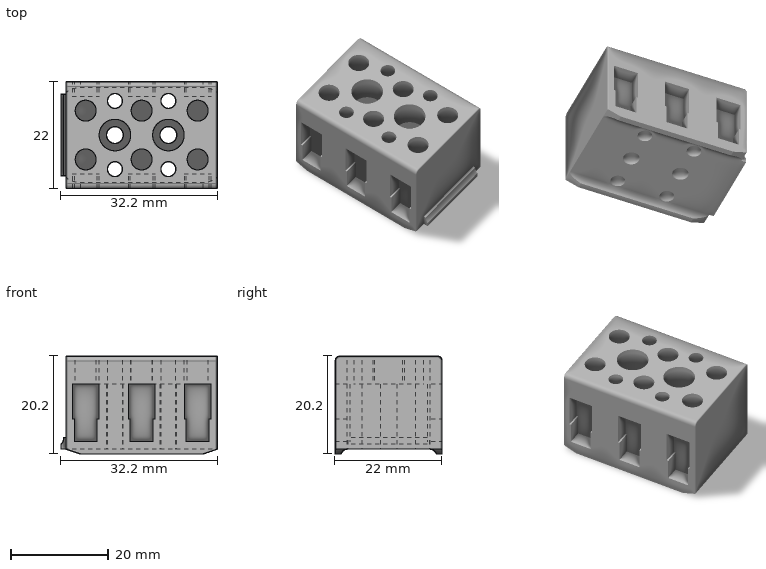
import cadquery as cq
import math

total_length = 32.15
width = 22.0
height = 20.15

lip_projection = 1.03
body_length = total_length - lip_projection
half_length = body_length / 2
half_width = width / 2
top_edge_radius = 1.0
end_edge_radius = 0.23

slope_length = 2.95
foot_height = 1.0
foot_width = 1.2
channel_corner_radius = 1.45
channel_corner_run = math.sqrt(channel_corner_radius**2 - (channel_corner_radius - foot_height) ** 2)

lip_width = 16.8
lip_top_projection = 0.48
lip_face_height = 1.03
lip_height = 2.4
lip_flank_radius = 1.93

pole_pitch = 11.5
pole_positions = (-pole_pitch, 0, pole_pitch)
entry_depth = 3.02
entry_bottom = 2.6
entry_step = 7.23
entry_top = 14.45
entry_lower_width = 4.7
entry_upper_width = 5.4

screw_hole_diameter = 4.3
screw_row_offset = 5.0
blind_hole_depth = height - entry_top
mount_pitch = 11.0
mount_hole_diameter = 3.4
counterbore_diameter = 6.5
small_hole_diameter = 3.02
small_row_offset = 7.0


def make_body():
    """Block with rounded long top edges, eased end edges and sloped bottom ends."""
    block = cq.Workplane("XY").box(body_length, width, height, centered=(True, True, False))
    block = block.edges("|X and >Z").fillet(top_edge_radius)
    block = block.faces("<X or >X").edges("not <Z").fillet(end_edge_radius)

    sloped_outline = (
        cq.Workplane("XZ")
        .moveTo(-half_length, height)
        .lineTo(-half_length, foot_height)
        .lineTo(-half_length + slope_length, 0)
        .lineTo(half_length - slope_length, 0)
        .lineTo(half_length, foot_height)
        .lineTo(half_length, height)
        .close()
        .extrude(half_width, both=True)
    )
    return block.intersect(sloped_outline)


def make_channel():
    """Full-length channel in the underside, with concave corners beside the two feet."""
    foot_edge = half_width - foot_width
    ceiling_edge = foot_edge - channel_corner_run
    return (
        cq.Workplane("YZ")
        .moveTo(-foot_edge, 0)
        .radiusArc((-ceiling_edge, foot_height), channel_corner_radius)
        .lineTo(ceiling_edge, foot_height)
        .radiusArc((foot_edge, 0), channel_corner_radius)
        .close()
        .extrude(half_length, both=True)
    )


def make_lip():
    """Ridge low on the -X end, set slightly into the body so that the two merge."""
    inner_x = -half_length + end_edge_radius
    outer_x = -half_length - lip_projection
    lip_top = foot_height + lip_height
    return (
        cq.Workplane("XZ")
        .moveTo(inner_x, foot_height)
        .lineTo(outer_x, foot_height)
        .lineTo(outer_x, foot_height + lip_face_height)
        .radiusArc((-half_length - lip_top_projection, lip_top), -lip_flank_radius)
        .lineTo(inner_x, lip_top)
        .close()
        .extrude(lip_width / 2, both=True)
    )


def make_wire_entries(side):
    """Stepped pockets in one long side; side is -1 for -Y and +1 for +Y."""
    center_y = side * (half_width - entry_depth / 2)
    entries = cq.Workplane("XY")
    levels = (
        (entry_lower_width, entry_bottom, entry_step),
        (entry_upper_width, entry_step, entry_top),
    )
    for x in pole_positions:
        for pocket_width, bottom, top in levels:
            pocket = cq.Workplane("XY", origin=(x, center_y, bottom)).box(
                pocket_width, entry_depth, top - bottom, centered=(True, True, False)
            )
            entries = entries.add(pocket)
    return entries.combine()


def make_holes(points, diameter, depth):
    """Vertical holes sunk from the top face."""
    return (
        cq.Workplane("XY", origin=(0, 0, height))
        .pushPoints(points)
        .circle(diameter / 2)
        .extrude(-depth)
    )


mount_positions = (-mount_pitch / 2, mount_pitch / 2)
screw_points = [(x, side * screw_row_offset) for x in pole_positions for side in (-1, 1)]
small_points = [(x, side * small_row_offset) for x in mount_positions for side in (-1, 1)]
mount_points = [(x, 0) for x in mount_positions]

result = make_body().cut(make_channel()).union(make_lip())
for long_side in (-1, 1):
    result = result.cut(make_wire_entries(long_side))
result = result.cut(make_holes(screw_points, screw_hole_diameter, blind_hole_depth))
result = result.cut(make_holes(small_points, small_hole_diameter, height))
result = result.cut(make_holes(mount_points, mount_hole_diameter, height))
result = result.cut(make_holes(mount_points, counterbore_diameter, blind_hole_depth))